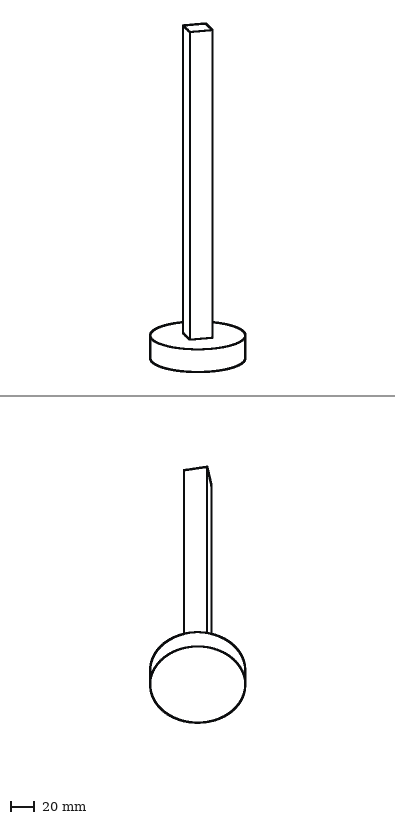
import cadquery as cq

total_height = 290.0
base_diameter = 80.0
base_thickness = 20.0
post_side = 20.0

post_height = total_height - base_thickness

base = cq.Workplane("XY").circle(base_diameter / 2).extrude(base_thickness)

result = base.faces(">Z").workplane().rect(post_side, post_side).extrude(post_height)